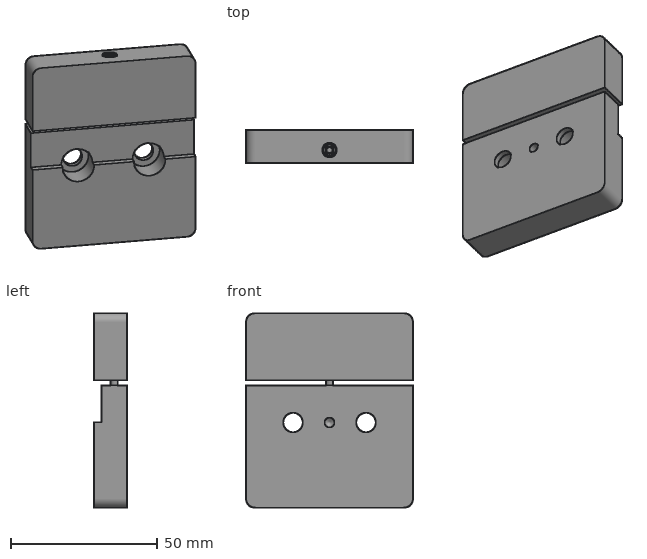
import cadquery as cq
import math

WIDTH = 57.2
THICKNESS = 11.4
HEIGHT = 66.6
CORNER_RADIUS = 3.05

LOWER_HEIGHT = 41.9
GAP = 1.7
UPPER_BOTTOM = LOWER_HEIGHT + GAP
UPPER_HEIGHT = HEIGHT - UPPER_BOTTOM

STEP_DEPTH = 2.5
STEP_HEIGHT = 12.6

HOLE_ROW_Z = 29.2
MOUNTING_HOLE_DIAMETER = 6.6
MOUNTING_HOLE_SPACING = 25.0
COUNTERBORE_DIAMETER = 11.0
COUNTERBORE_FLOOR_Y = 2.25
BLIND_HOLE_DIAMETER = 3.3
BLIND_HOLE_DEPTH = 5.3
DRILL_POINT_ANGLE = 118.0

PIN_Y = 4.45
STEM_DIAMETER = 2.5
STEM_INSERTION = 6.65
HEAD_DIAMETER = 4.8
HEAD_HOLE_DIAMETER = 5.0
HEAD_HEIGHT = 2.65
HEAD_RECESS = 0.2
HEAD_CHAMFER = 0.4
SOCKET_ACROSS_FLATS = 2.0
SOCKET_DEPTH = 0.8
COUNTERSINK_DIAMETER = 2.7

STEM_BOTTOM = LOWER_HEIGHT - STEM_INSERTION
HEAD_TOP = HEIGHT - HEAD_RECESS
HEAD_BOTTOM = HEAD_TOP - HEAD_HEIGHT


def block(bottom, height, rounded_edges):
    """Full-width plate whose two selected edges along Y are rounded."""
    return (
        cq.Workplane("XY")
        .workplane(offset=bottom)
        .center(0, THICKNESS / 2)
        .rect(WIDTH, THICKNESS)
        .extrude(height)
        .edges(rounded_edges)
        .fillet(CORNER_RADIUS)
    )


def upright_cylinder(diameter, bottom, top):
    """Vertical cylinder on the pin axis."""
    return cq.Workplane("XY", origin=(0, PIN_Y, bottom)).circle(diameter / 2).extrude(top - bottom)


def pin_envelope(head_top, head_diameter):
    """Plain stem and head cylinders, for the pin itself or for the hole that takes it."""
    stem = upright_cylinder(STEM_DIAMETER, STEM_BOTTOM, HEAD_BOTTOM)
    head = upright_cylinder(head_diameter, HEAD_BOTTOM, head_top)
    return stem.union(head)


def pin_hole():
    """Cutter for the stepped hole that takes the pin, open at the top face."""
    return pin_envelope(HEIGHT, HEAD_HOLE_DIAMETER)


def back_step():
    """Cutter for the full-width step at the top of the lower block's back face."""
    return cq.Workplane("XY").box(WIDTH, STEP_DEPTH, STEP_HEIGHT).translate(
        (0, THICKNESS - STEP_DEPTH / 2, LOWER_HEIGHT - STEP_HEIGHT / 2)
    )


def mounting_holes():
    """Cutters for the two through holes, each counterbored from the back."""
    half_spacing = MOUNTING_HOLE_SPACING / 2
    centers = [(-half_spacing, HOLE_ROW_Z), (half_spacing, HOLE_ROW_Z)]
    front_face = cq.Workplane("XZ").pushPoints(centers)
    through = front_face.circle(MOUNTING_HOLE_DIAMETER / 2).extrude(-THICKNESS)
    seat = cq.Workplane("XZ", origin=(0, COUNTERBORE_FLOOR_Y, 0)).pushPoints(centers)
    counterbores = seat.circle(COUNTERBORE_DIAMETER / 2).extrude(COUNTERBORE_FLOOR_Y - THICKNESS)
    return through.union(counterbores)


def blind_hole():
    """Cutter for the central drilled hole with its conical end."""
    radius = BLIND_HOLE_DIAMETER / 2
    point_length = radius / math.tan(math.radians(DRILL_POINT_ANGLE / 2))
    return (
        cq.Workplane("XY")
        .polyline([(0, 0), (radius, 0), (radius, BLIND_HOLE_DEPTH), (0, BLIND_HOLE_DEPTH + point_length)])
        .close()
        .revolve(360, (0, 0), (0, 1))
        .translate((0, 0, HOLE_ROW_Z))
    )


def make_upper_block():
    return block(UPPER_BOTTOM, UPPER_HEIGHT, "|Y and >Z").cut(pin_hole())


def make_lower_block():
    plate = block(0, LOWER_HEIGHT, "|Y and <Z")
    return plate.cut(back_step()).cut(mounting_holes()).cut(blind_hole()).cut(pin_hole())


def hex_socket():
    """Cutter for the countersunk hexagonal socket, with two flats facing -X and +X."""
    across_corners = SOCKET_ACROSS_FLATS / math.cos(math.radians(30))
    countersink_depth = (COUNTERSINK_DIAMETER - SOCKET_ACROSS_FLATS) / 2
    top = cq.Workplane("XY", origin=(0, PIN_Y, HEAD_TOP)).transformed(rotate=(0, 0, 30))
    hexagon = top.polygon(6, across_corners).extrude(-SOCKET_DEPTH)
    countersink = (
        top.circle(COUNTERSINK_DIAMETER / 2)
        .workplane(offset=-countersink_depth)
        .circle(SOCKET_ACROSS_FLATS / 2)
        .loft()
    )
    return hexagon.union(countersink)


def make_pin():
    """Pin with a chamfered head and a hexagonal socket in its top."""
    blank = pin_envelope(HEAD_TOP, HEAD_DIAMETER).faces(">Z").edges().chamfer(HEAD_CHAMFER)
    return blank.cut(hex_socket())


upper_block = make_upper_block()
lower_block = make_lower_block()
pin = make_pin()

result = cq.Compound.makeCompound([upper_block.val(), lower_block.val(), pin.val()])